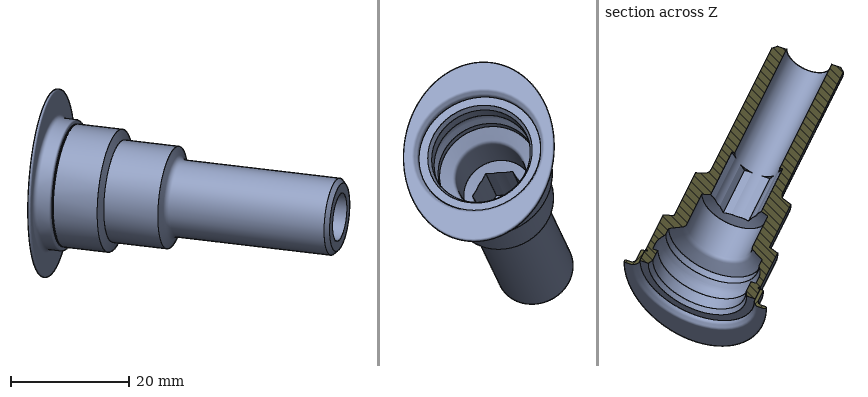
import cadquery as cq
import math

TOTAL_LENGTH = 51.3

FLANGE_WIDTH = 26.0
FLANGE_HEIGHT = 33.0
FLANGE_THICKNESS = 0.6
FLANGE_EDGE_FILLET = 0.29
COLLAR_LENGTH = 3.6
COLLAR_DIAMETER = 22.4
COLLAR_ROOT_FILLET = 0.7
COLLAR_END_FILLET = 0.3
MOUTH_DIAMETER = 23.0
MOUTH_LIP_FILLET = 0.6
MOUTH_THROAT_FILLET = 0.75
MOUTH_ANGLE = 45.0

BODY_START = 1.3
HEAD_DIAMETER = 21.0
NECK_DIAMETER = 20.4
NECK_WIDTH = 0.2
HEAD_END = 11.6
MIDDLE_DIAMETER = 17.5
MIDDLE_END = 21.8
STEM_DIAMETER = 13.16
STEM_ROOT_FILLET = 1.0
STEM_CHAMFER = 0.75
SHOULDER_ANGLE = 70.0

ENTRY_DIAMETER = 18.0
BORE_DIAMETER = 17.0
LEAD_IN_ANGLE = 30.0
GROOVE_START = 4.45
GROOVE_END = 7.95
GROOVE_DIAMETER = 18.8
GROOVE_FILLET = 2.8
BORE_END = 9.3
BORE_END_ANGLE = 60.0
INNER_BORE_DIAMETER = 12.0
INNER_BORE_FILLET = 0.9
INNER_BORE_END = 18.0
INNER_BORE_END_ANGLE = 70.0
HEX_SIDES = 6
HEX_ACROSS_FLATS = 8.0
HEX_END = 28.0
THROUGH_DIAMETER = 8.2


def cone_length(depth, angle):
    """Axial length of a cone wall that changes the radius by the given depth."""
    return depth / math.tan(math.radians(angle))


def on_circle(center, radius, direction):
    """Point on a circle, in the direction counted in degrees from +X toward +Y."""
    angle = math.radians(direction)
    return (center[0] + radius * math.cos(angle), center[1] + radius * math.sin(angle))


def add_arc(profile, center, radius, start, end):
    """Draws a line to the start of an arc and then the arc, between two directions from its center."""
    middle = on_circle(center, radius, (start + end) / 2)
    return profile.lineTo(*on_circle(center, radius, start)).threePointArc(
        middle, on_circle(center, radius, end)
    )


def add_tapering_round(profile, center, radius, from_angle, to_angle):
    """Rounds from one wall narrowing toward +X into a less steep one, around a center outside it."""
    return add_arc(profile, center, radius, 270 - from_angle, 270 - to_angle)


def cone_to_cylinder_center(cone_start, angle, cylinder_radius, fillet):
    """Center of the rounding that blends a narrowing cone wall into a thinner cylinder."""
    center_radius = cylinder_radius + fillet
    tangent_x, tangent_radius = on_circle((0, center_radius), fillet, 270 - angle)
    cone_end = cone_start[0] + cone_length(cone_start[1] - tangent_radius, angle)
    return (cone_end - tangent_x, center_radius)


def revolve_about_axis(profile):
    return profile.close().revolve(360, (0, 0, 0), (1, 0, 0))


def make_flange():
    """Oval plate with both rim edges rounded."""
    plate = cq.Workplane("YZ").ellipse(FLANGE_WIDTH / 2, FLANGE_HEIGHT / 2).extrude(FLANGE_THICKNESS)
    return plate.edges().fillet(FLANGE_EDGE_FILLET)


def make_sleeve():
    """Solid sleeve behind the flange, rounded into the flange and at its free end."""
    radius = COLLAR_DIAMETER / 2
    root_center = (FLANGE_THICKNESS + COLLAR_ROOT_FILLET, radius + COLLAR_ROOT_FILLET)
    end_center = (COLLAR_LENGTH - COLLAR_END_FILLET, radius - COLLAR_END_FILLET)
    profile = cq.Workplane("XY").lineTo(0, root_center[1])
    profile = add_tapering_round(profile, root_center, COLLAR_ROOT_FILLET, 90, 0)
    profile = add_arc(profile, end_center, COLLAR_END_FILLET, 90, 0)
    return revolve_about_axis(profile.lineTo(COLLAR_LENGTH, 0))


def make_collar_opening():
    """Bore that fits the head, flared to the flange face by a cone rounded at both ends."""
    lip_center = (MOUTH_LIP_FILLET, MOUTH_DIAMETER / 2)
    flare_start = on_circle(lip_center, MOUTH_LIP_FILLET, 270 - MOUTH_ANGLE)
    throat_center = cone_to_cylinder_center(
        flare_start, MOUTH_ANGLE, HEAD_DIAMETER / 2, MOUTH_THROAT_FILLET
    )
    profile = cq.Workplane("XY")
    profile = add_tapering_round(profile, lip_center, MOUTH_LIP_FILLET, 90, MOUTH_ANGLE)
    profile = add_tapering_round(profile, throat_center, MOUTH_THROAT_FILLET, MOUTH_ANGLE, 0)
    profile = profile.lineTo(COLLAR_LENGTH, HEAD_DIAMETER / 2).lineTo(COLLAR_LENGTH, 0)
    return revolve_about_axis(profile)


def make_collar():
    return make_flange().union(make_sleeve()).cut(make_collar_opening())


def make_body_outside():
    """Head, middle and stem cylinders joined by conical shoulders, with a thin neck behind the collar."""
    head_radius = HEAD_DIAMETER / 2
    neck_radius = NECK_DIAMETER / 2
    neck_end = COLLAR_LENGTH + NECK_WIDTH
    middle_radius = MIDDLE_DIAMETER / 2
    stem_radius = STEM_DIAMETER / 2
    middle_start = HEAD_END + cone_length(head_radius - middle_radius, SHOULDER_ANGLE)
    root_center = cone_to_cylinder_center(
        (MIDDLE_END, middle_radius), SHOULDER_ANGLE, stem_radius, STEM_ROOT_FILLET
    )
    profile = (
        cq.Workplane("XY")
        .moveTo(BODY_START, 0)
        .lineTo(BODY_START, head_radius)
        .lineTo(COLLAR_LENGTH, head_radius)
        .lineTo(COLLAR_LENGTH, neck_radius)
        .lineTo(neck_end, neck_radius)
        .lineTo(neck_end, head_radius)
        .lineTo(HEAD_END, head_radius)
        .lineTo(middle_start, middle_radius)
        .lineTo(MIDDLE_END, middle_radius)
    )
    profile = add_tapering_round(profile, root_center, STEM_ROOT_FILLET, SHOULDER_ANGLE, 0)
    profile = (
        profile.lineTo(TOTAL_LENGTH - STEM_CHAMFER, stem_radius)
        .lineTo(TOTAL_LENGTH, stem_radius - STEM_CHAMFER)
        .lineTo(TOTAL_LENGTH, 0)
    )
    return revolve_about_axis(profile)


def make_body_bore():
    """Blind bore with a tapered entry, an inner groove, and a thinner bore with a conical bottom."""
    bore_radius = BORE_DIAMETER / 2
    entry_radius = ENTRY_DIAMETER / 2
    groove_radius = GROOVE_DIAMETER / 2
    inner_radius = INNER_BORE_DIAMETER / 2
    entry_end = BODY_START + cone_length(entry_radius - bore_radius, LEAD_IN_ANGLE)

    groove_center_radius = groove_radius - GROOVE_FILLET
    round_end_x, round_end_radius = on_circle(
        (0, groove_center_radius), GROOVE_FILLET, 90 - LEAD_IN_ANGLE
    )
    groove_cone_start = GROOVE_END - cone_length(round_end_radius - bore_radius, LEAD_IN_ANGLE)
    groove_center = (groove_cone_start - round_end_x, groove_center_radius)

    inner_center = cone_to_cylinder_center(
        (BORE_END, bore_radius), BORE_END_ANGLE, inner_radius, INNER_BORE_FILLET
    )
    tip = INNER_BORE_END + cone_length(inner_radius, INNER_BORE_END_ANGLE)

    profile = (
        cq.Workplane("XY")
        .moveTo(BODY_START, 0)
        .lineTo(BODY_START, entry_radius)
        .lineTo(entry_end, bore_radius)
        .lineTo(GROOVE_START, bore_radius)
        .lineTo(GROOVE_START, groove_radius)
    )
    profile = add_arc(profile, groove_center, GROOVE_FILLET, 90, 90 - LEAD_IN_ANGLE)
    profile = profile.lineTo(GROOVE_END, bore_radius).lineTo(BORE_END, bore_radius)
    profile = add_tapering_round(profile, inner_center, INNER_BORE_FILLET, BORE_END_ANGLE, 0)
    profile = profile.lineTo(INNER_BORE_END, inner_radius).lineTo(tip, 0)
    return revolve_about_axis(profile)


def make_hex_socket():
    """Hexagonal socket with flats facing up and down and corners toward +Y and -Y."""
    across_corners = HEX_ACROSS_FLATS / math.cos(math.pi / HEX_SIDES)
    return (
        cq.Workplane("YZ", origin=(INNER_BORE_END, 0, 0))
        .polygon(HEX_SIDES, across_corners)
        .extrude(HEX_END - INNER_BORE_END)
    )


def make_through_hole():
    """Round hole from the inner bore out through the end of the stem."""
    return (
        cq.Workplane("YZ", origin=(INNER_BORE_END, 0, 0))
        .circle(THROUGH_DIAMETER / 2)
        .extrude(TOTAL_LENGTH - INNER_BORE_END)
    )


def make_body():
    body = make_body_outside().cut(make_body_bore())
    return body.cut(make_hex_socket()).cut(make_through_hole())


collar = make_collar()
stepped_body = make_body()

result = cq.Compound.makeCompound([collar.val(), stepped_body.val()])